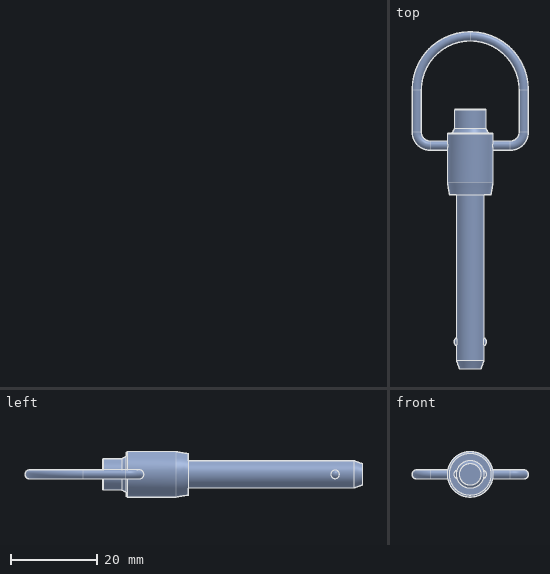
import cadquery as cq
import math

total_length = 78.2

shank_radius = 3.2
tip_radius = 2.5
tip_taper_length = 1.95
ball_radius = 1.1
ball_reach = 3.75
ball_y = 6.3

collar_radius = 5.3
collar_nose_radius = 4.85
collar_front_y = 40.35
collar_taper_length = 2.9
collar_back_y = 54.75
collar_edge_chamfer = 0.2

button_radius = 3.7
button_base_radius = 4.2
button_cone_length = 1.0
button_end_y = 60.2
button_edge_chamfer = 0.15

ring_width = 27.0
wire_radius = 1.1
crossbar_y = 51.8
corner_bend_radius = 3.1
ring_half_width = ring_width / 2 - wire_radius
arch_start_y = total_length - ring_width / 2


def make_body():
    """Revolve shank, collar and button about the Y axis."""
    profile = [
        (0, 0),
        (tip_radius, 0),
        (shank_radius, tip_taper_length),
        (shank_radius, collar_front_y),
        (collar_nose_radius, collar_front_y),
        (collar_radius, collar_front_y + collar_taper_length),
        (collar_radius, collar_back_y - collar_edge_chamfer),
        (collar_radius - collar_edge_chamfer, collar_back_y),
        (button_base_radius, collar_back_y),
        (button_radius, collar_back_y + button_cone_length),
        (button_radius, button_end_y - button_edge_chamfer),
        (button_radius - button_edge_chamfer, button_end_y),
        (0, button_end_y),
    ]
    return cq.Workplane("XY").polyline(profile).close().revolve(360, (0, 0), (0, 1))


def make_ring():
    """Sweep the round wire along half of the ring and mirror it."""
    bend_x = ring_half_width - corner_bend_radius
    bend_y = crossbar_y + corner_bend_radius
    bend_middle = (
        bend_x + corner_bend_radius * math.sqrt(0.5),
        bend_y - corner_bend_radius * math.sqrt(0.5),
    )
    arch_middle = (
        ring_half_width * math.sqrt(0.5),
        arch_start_y + ring_half_width * math.sqrt(0.5),
    )
    path = (
        cq.Workplane("XY")
        .moveTo(0, crossbar_y)
        .lineTo(bend_x, crossbar_y)
        .threePointArc(bend_middle, (ring_half_width, bend_y))
        .lineTo(ring_half_width, arch_start_y)
        .threePointArc(arch_middle, (0, arch_start_y + ring_half_width))
    )
    half = cq.Workplane("YZ").center(crossbar_y, 0).circle(wire_radius).sweep(path)
    return half.union(half.mirror("YZ"))


def make_ball(side):
    """Locking ball protruding from the shank on the given X side."""
    center_x = side * (ball_reach - ball_radius)
    return cq.Workplane("XY").sphere(ball_radius).translate((center_x, ball_y, 0))


result = make_body().union(make_ring())
for side in (-1, 1):
    result = result.union(make_ball(side))